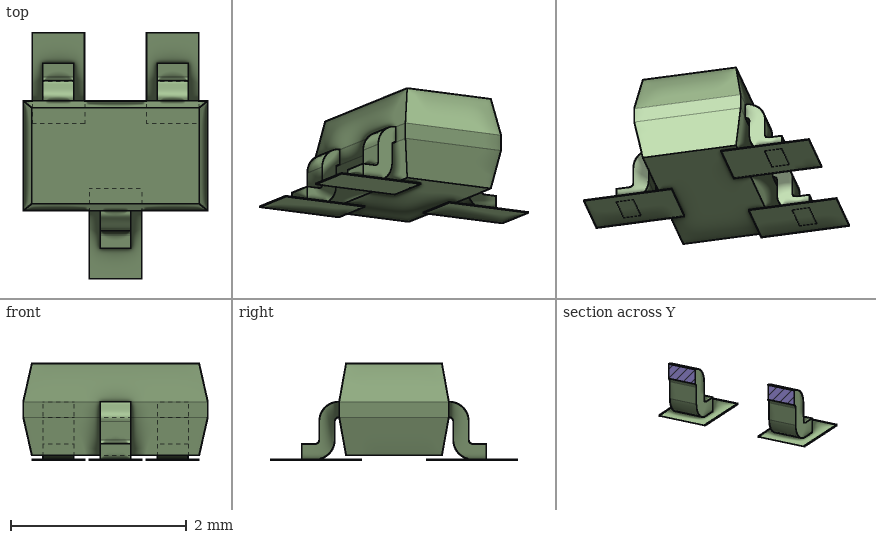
import cadquery as cq

body_length = 2.1
body_width = 1.25
face_length = 1.905
face_width = 1.092
body_top = 1.1
taper_height = 0.435

lead_thickness = 0.18
lead_width = 0.35
lead_reach = 1.05
lead_pitch = 1.3
inner_bend = 0.048
outer_bend = inner_bend + lead_thickness
lead_embed = 0.112

pad_thickness = 0.01
pad_width = 0.6
pad_length = 1.03
pad_reach = 1.4

band_top = body_top - taper_height
band_bottom = band_top - lead_thickness


def tapered_half(band_level, face_level):
    """Frustum from the band outline to the smaller flat face."""
    return (
        cq.Workplane("XY", origin=(0, 0, band_level))
        .rect(body_length, body_width)
        .workplane(offset=face_level - band_level)
        .rect(face_length, face_width)
        .loft(ruled=True, combine=True)
    )


def make_body():
    band = (
        cq.Workplane("XY", origin=(0, 0, band_bottom))
        .rect(body_length, body_width)
        .extrude(lead_thickness)
    )
    upper = tapered_half(band_top, body_top)
    lower = tapered_half(band_bottom, band_bottom - taper_height)
    return band.union(upper).union(lower)


def make_lead():
    """Lead at X = 0 bending down and out towards +Y."""
    body_side = body_width / 2
    shank_inside = body_side + inner_bend
    shank_outside = body_side + outer_bend
    foot_start = shank_outside + inner_bend
    foot_bottom = pad_thickness / 2
    foot_top = foot_bottom + lead_thickness
    embedded_end = body_side - lead_embed
    profile = (
        cq.Workplane("YZ", origin=(-lead_width / 2, 0, 0))
        .moveTo(embedded_end, band_top)
        .lineTo(body_side, band_top)
        .radiusArc((shank_outside, band_top - outer_bend), outer_bend)
        .lineTo(shank_outside, foot_top + inner_bend)
        .radiusArc((foot_start, foot_top), -inner_bend)
        .lineTo(lead_reach, foot_top)
        .lineTo(lead_reach, foot_bottom)
        .lineTo(foot_start, foot_bottom)
        .radiusArc((shank_inside, foot_bottom + outer_bend), outer_bend)
        .lineTo(shank_inside, band_bottom - inner_bend)
        .radiusArc((body_side, band_bottom), -inner_bend)
        .lineTo(embedded_end, band_bottom)
        .close()
    )
    return profile.extrude(lead_width)


def make_pad():
    return (
        cq.Workplane("XY")
        .center(0, pad_reach - pad_length / 2)
        .rect(pad_width, pad_length)
        .extrude(pad_thickness)
    )


lead_on_pad = make_lead().union(make_pad())
result = make_body()
for x in (-lead_pitch / 2, lead_pitch / 2):
    result = result.union(lead_on_pad.translate((x, 0, 0)))
result = result.union(lead_on_pad.mirror("XZ"))